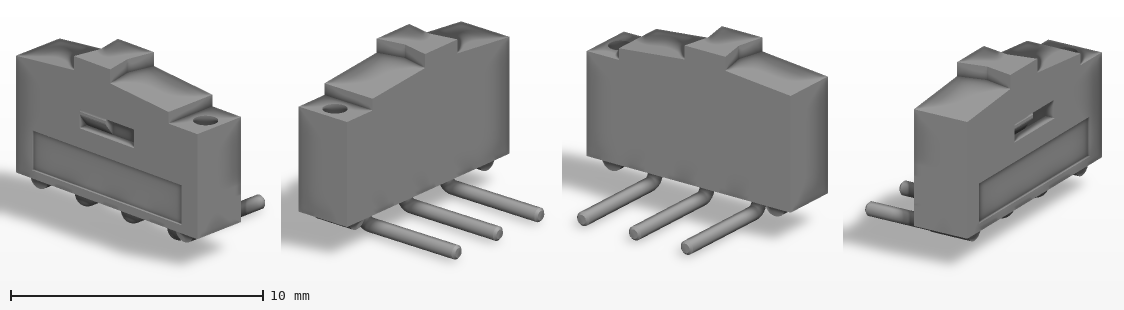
import cadquery as cq

LENGTH = 10.0
WIDTH = 2.5
BLOCK_HEIGHT = 4.5
FRONT_Y = -WIDTH / 2

ROOF_LENGTH = 8.42
ROOF_EDGE_Z = BLOCK_HEIGHT + 0.5
KNOB_LEFT_X = 3.2
KNOB_RIGHT_X = 5.2
KNOB_TOP_Z = 5.9
KNOB_WAIST = 0.25
RAMP_SLOPE = 3.0 / 32.0

HOLE_DIAMETER = 1.0
HOLE_X = 9.25
HOLE_DEPTH = 1.0

WINDOW_LEFT_X = 3.5
WINDOW_LENGTH = 3.0
WINDOW_BOTTOM_Z = 2.9
WINDOW_TOP_Z = 3.7
WINDOW_DEPTH = 0.43

LATCH_LENGTH = 1.43
LATCH_SETBACK = 0.02
LATCH_TOP_SETBACK = 0.07
LATCH_TIP_TOP_Z = 3.6
LATCH_TIP_BOTTOM_Z = 3.48
LATCH_LIP_Z = 3.42
LATCH_LIP_SETBACK = 0.04

LABEL_MARGIN_X = 0.88
LABEL_BOTTOM_Z = 0.35
LABEL_HEIGHT = 1.71
LABEL_DEPTH = 0.12

FOOT_DIAMETER = 1.0
FOOT_INSET_X = 1.0
FOOT_FRONT_GAP = 0.3
FOOT_LENGTH = 1.87

PIN_DIAMETER = 0.6
PIN_COUNT = 3
PIN_PITCH = 2.54
PIN_AXIS_Z = -0.9
PIN_BEND_RADIUS = 0.4
PIN_END_Y = 4.95
PIN_CHAMFER = 0.1


def side_prism(points, x_start, length):
    """Extrude a closed (Y, Z) outline along +X."""
    return cq.Workplane("YZ", origin=(x_start, 0, 0)).polyline(points).close().extrude(length)


def front_prism(points):
    """Extrude a closed (X, Z) outline over the full width."""
    return cq.Workplane("XZ").polyline(points).close().extrude(WIDTH / 2, both=True)


def front_pocket(x_start, length, z_bottom, z_top, depth):
    """Box that cuts into the front wall."""
    return cq.Workplane("XY").box(length, depth, z_top - z_bottom, centered=False).translate(
        (x_start, FRONT_Y, z_bottom)
    )


def make_roof():
    waist_left_x = KNOB_LEFT_X + KNOB_WAIST
    waist_right_x = KNOB_RIGHT_X - KNOB_WAIST
    ramp_top_z = ROOF_EDGE_Z + RAMP_SLOPE * waist_left_x
    return front_prism([
        (0, BLOCK_HEIGHT),
        (ROOF_LENGTH, BLOCK_HEIGHT),
        (ROOF_LENGTH, ROOF_EDGE_Z),
        (waist_right_x, ramp_top_z),
        (waist_left_x, ramp_top_z),
        (0, ROOF_EDGE_Z),
    ])


def make_knob():
    outline = [
        (KNOB_LEFT_X, -WIDTH / 2),
        (KNOB_RIGHT_X, -WIDTH / 2),
        (KNOB_RIGHT_X - KNOB_WAIST, 0),
        (KNOB_RIGHT_X, WIDTH / 2),
        (KNOB_LEFT_X, WIDTH / 2),
        (KNOB_LEFT_X + KNOB_WAIST, 0),
    ]
    knob = cq.Workplane("XY", origin=(0, 0, BLOCK_HEIGHT)).polyline(outline).close()
    return knob.extrude(KNOB_TOP_Z - BLOCK_HEIGHT)


def make_latch():
    back_y = FRONT_Y + WINDOW_DEPTH
    return side_prism(
        [
            (back_y, WINDOW_BOTTOM_Z),
            (FRONT_Y + LATCH_LIP_SETBACK, LATCH_LIP_Z),
            (FRONT_Y + LATCH_SETBACK, LATCH_TIP_BOTTOM_Z),
            (FRONT_Y + LATCH_SETBACK, LATCH_TIP_TOP_Z),
            (FRONT_Y + LATCH_TOP_SETBACK, WINDOW_TOP_Z),
            (back_y, WINDOW_TOP_Z),
        ],
        WINDOW_LEFT_X,
        LATCH_LENGTH,
    )


def make_foot(x):
    foot = cq.Workplane("XZ", origin=(x, FRONT_Y + FOOT_FRONT_GAP, 0))
    return foot.circle(FOOT_DIAMETER / 2).extrude(-FOOT_LENGTH)


def make_housing():
    housing = cq.Workplane("XY").box(LENGTH, WIDTH, BLOCK_HEIGHT, centered=(False, True, False))
    housing = housing.union(make_roof()).union(make_knob())
    for foot_x in (FOOT_INSET_X, LENGTH - FOOT_INSET_X):
        housing = housing.union(make_foot(foot_x))

    hole = cq.Workplane("XY", origin=(HOLE_X, 0, BLOCK_HEIGHT)).circle(HOLE_DIAMETER / 2)
    housing = housing.cut(hole.extrude(-HOLE_DEPTH))

    housing = housing.cut(front_pocket(
        WINDOW_LEFT_X, WINDOW_LENGTH, WINDOW_BOTTOM_Z, WINDOW_TOP_Z, WINDOW_DEPTH
    ))
    housing = housing.union(make_latch())

    label_length = LENGTH - 2 * LABEL_MARGIN_X
    label_top_z = LABEL_BOTTOM_Z + LABEL_HEIGHT
    return housing.cut(front_pocket(
        LABEL_MARGIN_X, label_length, LABEL_BOTTOM_Z, label_top_z, LABEL_DEPTH
    ))


def make_pin(x):
    """Round pin that leaves the underside downward and bends toward +Y."""
    path = (
        cq.Workplane("YZ", origin=(x, 0, 0))
        .moveTo(0, 0)
        .lineTo(0, PIN_AXIS_Z + PIN_BEND_RADIUS)
        .tangentArcPoint((PIN_BEND_RADIUS, PIN_AXIS_Z), relative=False)
        .lineTo(PIN_END_Y, PIN_AXIS_Z)
    )
    pin = cq.Workplane("XY", origin=(x, 0, 0)).circle(PIN_DIAMETER / 2).sweep(path)
    return pin.faces(">Y").chamfer(PIN_CHAMFER)


housing = make_housing()
first_pin_x = LENGTH / 2 - PIN_PITCH * (PIN_COUNT - 1) / 2
pins = [make_pin(first_pin_x + i * PIN_PITCH) for i in range(PIN_COUNT)]

result = cq.Compound.makeCompound([housing.val(), *[pin.val() for pin in pins]])